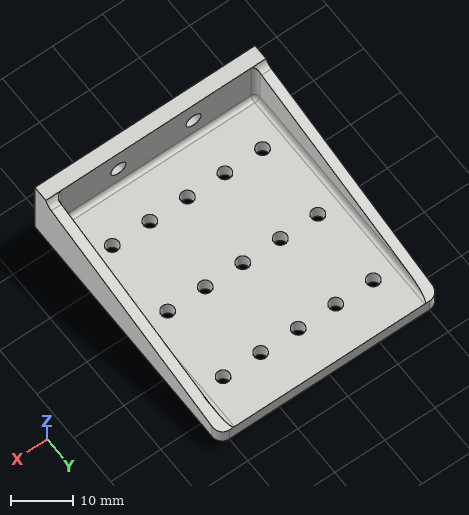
import cadquery as cq
import math

width = 44.0
length = 50.0
height = 13.0

floor_thickness = 3.0
side_wall = 2.0
end_plate = 3.0

slope_angle = math.radians(10.9)
step_radius = 2.0

corner_radius = 2.0
pocket_radius = 1.0

floor_hole_diameter = 2.5
floor_hole_columns = 5
floor_hole_rows = 3
column_pitch = 7.5
row_pitch = 15.0
first_row_y = 11.5

plate_hole_diameter = 3.0
plate_hole_count = 2
plate_hole_pitch = 15.0
plate_hole_z = 8.0


def wedge_body():
    """Solid wedge with a concave round leading up to the end plate."""
    sine = math.sin(slope_angle)
    cosine = math.cos(slope_angle)

    slope_z_at_plate = floor_thickness + (length - end_plate) * math.tan(slope_angle)
    edge_above_slope = (height - slope_z_at_plate) * cosine
    center_above_edge = step_radius - edge_above_slope
    edge_to_center = math.sqrt(step_radius**2 - center_above_edge**2)
    center_y = end_plate + edge_to_center * cosine + center_above_edge * sine
    center_z = height - edge_to_center * sine + center_above_edge * cosine

    def on_round(angle):
        return (center_y + step_radius * math.cos(angle), center_z + step_radius * math.sin(angle))

    top_angle = math.pi + math.asin((center_z - height) / step_radius)
    tangent_angle = 1.5 * math.pi - slope_angle
    middle_angle = (top_angle + tangent_angle) / 2

    body = (
        cq.Workplane("YZ")
        .moveTo(0, 0)
        .lineTo(0, height)
        .lineTo(end_plate, height)
        .threePointArc(on_round(middle_angle), on_round(tangent_angle))
        .lineTo(length, floor_thickness)
        .lineTo(length, 0)
        .close()
        .extrude(width / 2, both=True)
    )
    return body.edges("|Z and >Y").fillet(corner_radius)


def pocket():
    """Space between the walls, rounded along the floor and in the inner corners."""
    overrun = 5.0
    space = cq.Workplane("XY").box(
        width - 2 * side_wall,
        length - end_plate + overrun,
        height - floor_thickness + overrun,
        centered=(True, False, False),
    )
    space = space.edges("(|Z and <Y) or (<Z and (not >Y))").fillet(pocket_radius)
    return space.translate((0, end_plate, floor_thickness))


def floor_holes():
    """Grid of cutters through the floor."""
    middle_row_y = first_row_y + row_pitch * (floor_hole_rows - 1) / 2
    return (
        cq.Workplane("XY")
        .center(0, middle_row_y)
        .rarray(column_pitch, row_pitch, floor_hole_columns, floor_hole_rows)
        .circle(floor_hole_diameter / 2)
        .extrude(floor_thickness)
    )


def plate_holes():
    """Row of cutters through the end plate."""
    return (
        cq.Workplane("XZ")
        .center(0, plate_hole_z)
        .rarray(plate_hole_pitch, 1, plate_hole_count, 1)
        .circle(plate_hole_diameter / 2)
        .extrude(-end_plate)
    )


result = wedge_body().cut(pocket()).cut(floor_holes()).cut(plate_holes())